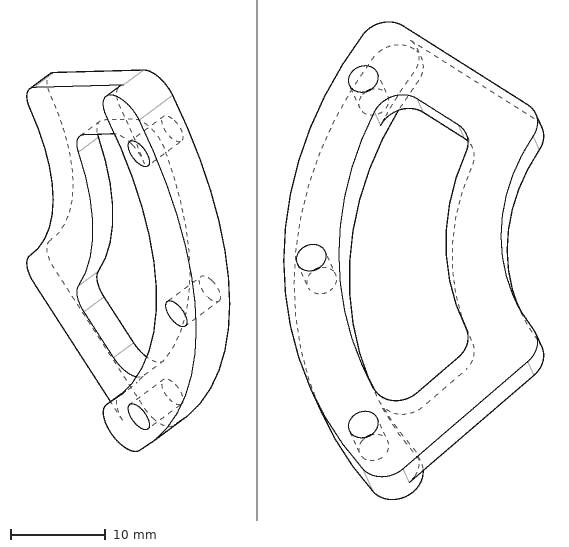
import cadquery as cq
import math

length = 55.25
band_width = 5.95
corner_radius = band_width / 2
hole_circle_radius = 42.0
hole_diameter = 3.2
hole_angles = (-30, 0, 30)
frame_inner_radius = 21.5
frame_thickness = 3.0
rim_thickness = 5.0

rim_inner_radius = hole_circle_radius - band_width / 2
rim_outer_radius = hole_circle_radius + band_width / 2
window_inner_radius = frame_inner_radius + band_width
rim_end_angle = math.asin((length / 2 - corner_radius) / hole_circle_radius)
side_angle = rim_end_angle + math.asin(corner_radius / hole_circle_radius)


def polar(radius, angle):
    """Point in the XZ plane at an angle in radians from +X."""
    return (radius * math.cos(angle), radius * math.sin(angle))


def band(inner_radius, outer_radius, inner_angle, outer_angle, thickness):
    """Arched band symmetric about X, from the back face at Y = 0 towards -Y."""
    return (
        cq.Workplane("XZ")
        .moveTo(*polar(inner_radius, -inner_angle))
        .lineTo(*polar(outer_radius, -outer_angle))
        .threePointArc((outer_radius, 0), polar(outer_radius, outer_angle))
        .lineTo(*polar(inner_radius, inner_angle))
        .threePointArc((inner_radius, 0), polar(inner_radius, -inner_angle))
        .close()
        .extrude(thickness)
    )


def window_angle(radius):
    """Angle at which a line one band width inside the frame's side meets a radius."""
    return side_angle - math.asin(band_width / radius)


def make_frame():
    """Thin sector with rounded corners."""
    sector = band(frame_inner_radius, rim_outer_radius, side_angle, side_angle, frame_thickness)
    return sector.edges("|Y").fillet(corner_radius)


def make_window():
    """Opening that leaves bars of equal width around it."""
    opening = band(
        window_inner_radius,
        rim_inner_radius,
        window_angle(window_inner_radius),
        window_angle(rim_inner_radius),
        frame_thickness,
    )
    return opening.edges("|Y").fillet(corner_radius)


def make_rim():
    """Thick outer arc with round ends."""
    rim = band(rim_inner_radius, rim_outer_radius, rim_end_angle, rim_end_angle, rim_thickness)
    end_points = [polar(hole_circle_radius, side * rim_end_angle) for side in (-1, 1)]
    ends = cq.Workplane("XZ").pushPoints(end_points).circle(corner_radius).extrude(rim_thickness)
    return rim.union(ends)


def make_holes():
    """Through holes along the middle of the rim."""
    points = [polar(hole_circle_radius, math.radians(angle)) for angle in hole_angles]
    return cq.Workplane("XZ").pushPoints(points).circle(hole_diameter / 2).extrude(rim_thickness)


result = make_frame().cut(make_window()).union(make_rim()).cut(make_holes())